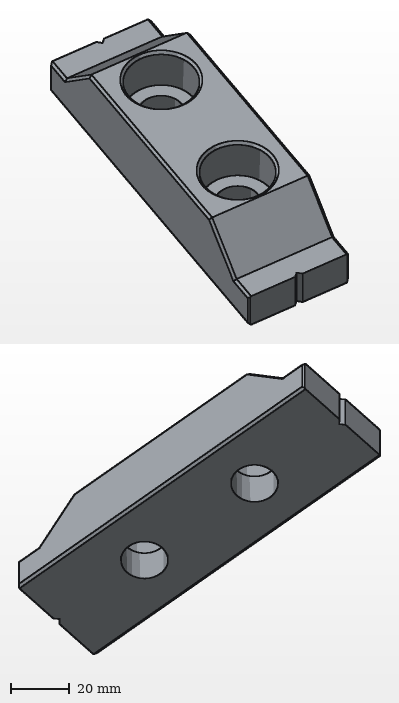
import cadquery as cq

length = 130.0
width = 40.0
height = 30.0
end_height = 14.0
flat_length = 9.5
slope_run = height - end_height

side_chamfer = 1.0
corner_chamfer = 0.7

hole_spacing = 50.0
hole_diameter = 16.0
counterbore_diameter = 26.0
counterbore_depth = 16.0
counterbore_chamfer = 1.0

notch_depth = 1.5

half_length = length / 2
half_width = width / 2


def make_block():
    """Extrude the stepped side profile across the width and break its side edges."""
    slope_foot = half_length - flat_length
    slope_head = slope_foot - slope_run
    profile = [
        (-half_length, 0),
        (half_length, 0),
        (half_length, end_height),
        (slope_foot, end_height),
        (slope_head, height),
        (-slope_head, height),
        (-slope_foot, end_height),
        (-half_length, end_height),
    ]
    block = cq.Workplane("XZ").polyline(profile).close().extrude(half_width, both=True)
    bevelled = block.faces("|Y").edges("not |Z").chamfer(side_chamfer)
    return bevelled.intersect(make_plan_outline())


def make_plan_outline():
    """Prism over the plan of the block, with its four upright corners cut off."""
    corner_x = half_length - corner_chamfer
    corner_y = half_width - corner_chamfer
    plan = [
        (-half_length, -corner_y),
        (-corner_x, -half_width),
        (corner_x, -half_width),
        (half_length, -corner_y),
        (half_length, corner_y),
        (corner_x, half_width),
        (-corner_x, half_width),
        (-half_length, corner_y),
    ]
    return cq.Workplane("XY").polyline(plan).close().extrude(height)


def make_screw_hole(x):
    """Through hole with a chamfered counterbore, revolved about an upright axis at x."""
    hole_radius = hole_diameter / 2
    bore_radius = counterbore_diameter / 2
    floor = height - counterbore_depth
    half_section = [
        (0, 0),
        (hole_radius, 0),
        (hole_radius, floor),
        (bore_radius, floor),
        (bore_radius, height - counterbore_chamfer),
        (bore_radius + counterbore_chamfer, height),
        (0, height),
    ]
    tool = cq.Workplane("XZ").polyline(half_section).close().revolve(360, (0, 0), (0, 1))
    return tool.translate((x, 0, 0))


def make_end_notch(side):
    """Upright V groove through the end face on the given side (-1 or 1)."""
    end_x = side * half_length
    tip_x = side * (half_length - notch_depth)
    triangle = [(end_x, -notch_depth), (end_x, notch_depth), (tip_x, 0)]
    return cq.Workplane("XY").polyline(triangle).close().extrude(end_height)


result = make_block()
for side in (-1, 1):
    result = result.cut(make_screw_hole(side * hole_spacing / 2))
    result = result.cut(make_end_notch(side))